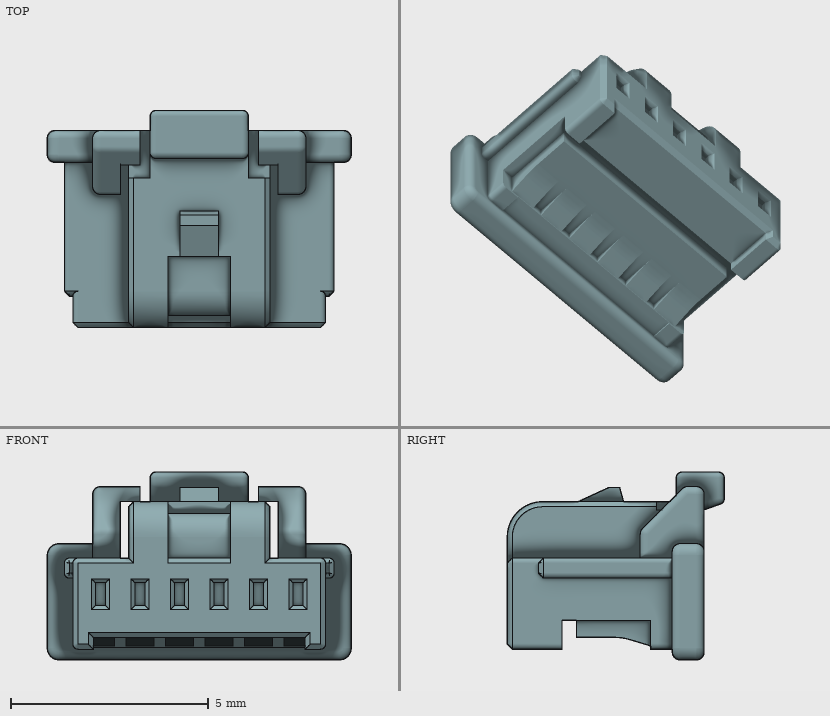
import cadquery as cq
import math

EDGE_BREAK = 0.13
EDGE_ROUND = 0.2
OVERLAP = 0.2
CUT_START_Z = -1.0

BODY_HALF_WIDTH = 3.2
BODY_BOTTOM = 0.27
BODY_ROUND = 0.135
BODY_TOP = 2.58
REAR = 4.99

FLANGE_WIDTH = 7.7
FLANGE_HEIGHT = 2.945
FLANGE_THICKNESS = 0.81
FLANGE_FRONT = REAR - FLANGE_THICKNESS
FLANGE_CORNER = 0.3

RIB_HALF_WIDTH = 3.415
RIB_BOTTOM = 2.07
RIB_FRONT = 0.79

CONTACT_COUNT = 6
CONTACT_PITCH = 1.0
CAVITY_WIDTH = 0.26
CAVITY_HEIGHT = 0.58
CAVITY_CENTRE_Z = 1.665
CAVITY_DEPTH = 0.22
CAVITY_LEAD_IN = 0.1

RECESS_HALF_WIDTH = 2.68
RAMP_HALF_WIDTH = 2.88
RECESS_TOP = 0.57
GAP_FRONT = 1.39
GAP_REAR = 1.75
GAP_TOP = 1.0
SIDE_CUT_REAR = 3.63
RAMP_START = 2.7
RAMP_RADIUS = 1.46
RAMP_ANGLE = math.radians(17)
RAMP_WALL_BOTTOM = 0.32
RAMP_SLOT_WIDTH = 0.29

LATCH_HALF_WIDTH = 1.79
LATCH_TOP = 4.01
LATCH_NOSE_RADIUS = 0.9
SHELF_HALF_WIDTH = 1.245
SHELF_FRONT = 3.78
SHELF_Z = 3.8
WINDOW_HALF_WIDTH = 0.79
WINDOW_DEPTH = 0.3
WINDOW_REAR = 1.8
TOOTH_WIDTH = 0.98
TOOTH_HEIGHT = 0.36
TOOTH_CREST_FRONT = 2.58
TOOTH_CREST_REAR = 2.85
TOOTH_REAR = 2.95

PAD_FRONT = 4.28
PAD_REAR = 5.5
PAD_TOP = 4.76
PAD_LIP_Z = 3.98
PAD_ROUND = 0.15

GUARD_OUTER = 2.7
GUARD_INNER = 2.0
GUARD_HOOK_INNER = 1.5
GUARD_HOOK_Z = 4.01
GUARD_FRONT = 3.37
GUARD_TOP = 4.39
GUARD_SLOPE_LOW = 3.27


def block(x0, x1, y0, y1, z0, z1):
    """Box between two opposite corners."""
    return cq.Workplane("XY").box(x1 - x0, y1 - y0, z1 - z0, centered=False).translate((x0, y0, z0))


def side_profile(points, x0, x1):
    """Polygon of (y, z) points extruded from x0 to x1."""
    return cq.Workplane("YZ").polyline(points).close().extrude(x1 - x0).translate((x0, 0, 0))


def both_sides(shape):
    """The shape joined with its mirror image across the mid plane."""
    return shape.union(shape.mirror("YZ"))


def lead_in(x, z, width, height, flare):
    """Rectangular funnel at the mating face, narrowing at 45 degrees to width by height."""
    return (
        cq.Workplane("XZ", origin=(x, 0, z))
        .rect(width + 2 * flare, height + 2 * flare)
        .workplane(offset=-flare)
        .rect(width, height)
        .loft(ruled=True)
    )


def make_ramp():
    """Underside ramp: an arc, a straight slope and a rear wall, split by slots between the contacts."""
    arc_end_y = RAMP_START + RAMP_RADIUS * math.sin(RAMP_ANGLE)
    arc_end_z = RECESS_TOP - RAMP_RADIUS * (1 - math.cos(RAMP_ANGLE))
    arc_mid_y = RAMP_START + RAMP_RADIUS * math.sin(RAMP_ANGLE / 2)
    arc_mid_z = RECESS_TOP - RAMP_RADIUS * (1 - math.cos(RAMP_ANGLE / 2))
    slope_end_z = arc_end_z - (SIDE_CUT_REAR - arc_end_y) * math.tan(RAMP_ANGLE)
    roof = RECESS_TOP + OVERLAP
    ramp = (
        cq.Workplane("YZ")
        .moveTo(RAMP_START, RECESS_TOP)
        .threePointArc((arc_mid_y, arc_mid_z), (arc_end_y, arc_end_z))
        .lineTo(SIDE_CUT_REAR, slope_end_z)
        .lineTo(SIDE_CUT_REAR, RAMP_WALL_BOTTOM)
        .lineTo(REAR - OVERLAP, RAMP_WALL_BOTTOM)
        .lineTo(REAR - OVERLAP, roof)
        .lineTo(RAMP_START, roof)
        .close()
        .extrude(RAMP_HALF_WIDTH, both=True)
    )
    for gap in range(CONTACT_COUNT - 1):
        x = (gap - (CONTACT_COUNT - 2) / 2) * CONTACT_PITCH
        half = RAMP_SLOT_WIDTH / 2
        ramp = ramp.cut(block(x - half, x + half, RAMP_START, SIDE_CUT_REAR, CUT_START_Z, RECESS_TOP))
    return ramp


def make_body():
    """Housing block with the underside recess, side cut-outs and contact ramp."""
    w = BODY_HALF_WIDTH
    body = block(-w, w, 0, REAR - OVERLAP, BODY_BOTTOM, BODY_TOP).edges("|Y").fillet(BODY_ROUND)
    body = body.faces("<Y").edges().chamfer(EDGE_BREAK)
    r = RECESS_HALF_WIDTH
    body = body.cut(block(-r, r, 0, FLANGE_FRONT, CUT_START_Z, RECESS_TOP))
    body = body.cut(lead_in(0, 0, 2 * r, 2 * RECESS_TOP, EDGE_BREAK))
    body = body.cut(block(-w, w, GAP_FRONT, GAP_REAR, CUT_START_Z, GAP_TOP))
    ramp_half = RAMP_HALF_WIDTH
    body = body.cut(block(-ramp_half, ramp_half, GAP_REAR, SIDE_CUT_REAR, CUT_START_Z, RECESS_TOP))
    body = body.cut(both_sides(block(ramp_half, w, GAP_FRONT, SIDE_CUT_REAR, CUT_START_Z, GAP_TOP)))
    return body.union(make_ramp())


def make_flange():
    """Rounded rear plate, lowered to the body top between the guards."""
    half = FLANGE_WIDTH / 2
    flange = block(-half, half, FLANGE_FRONT, REAR, 0, FLANGE_HEIGHT)
    flange = flange.edges("|Y").fillet(FLANGE_CORNER)
    flange = flange.faces("<Y or >Y").edges().fillet(EDGE_ROUND)
    return flange.cut(block(-GUARD_INNER, GUARD_INNER, FLANGE_FRONT, REAR, BODY_TOP, FLANGE_HEIGHT))


def make_rib():
    """Rib along the top of the +X side wall, level with the body top."""
    rib = block(RAMP_HALF_WIDTH, RIB_HALF_WIDTH, RIB_FRONT, REAR - OVERLAP, RIB_BOTTOM, BODY_TOP)
    rib = rib.edges("|Y and >X").fillet(EDGE_BREAK)
    return rib.faces("<Y").edges(">X").chamfer(EDGE_BREAK)


def cut_cavities(part):
    """Row of blind contact cavities with tapered lead-ins in the mating face."""
    for contact in range(CONTACT_COUNT):
        x = (contact - (CONTACT_COUNT - 1) / 2) * CONTACT_PITCH
        cavity = block(
            x - CAVITY_WIDTH / 2, x + CAVITY_WIDTH / 2, 0, CAVITY_DEPTH,
            CAVITY_CENTRE_Z - CAVITY_HEIGHT / 2, CAVITY_CENTRE_Z + CAVITY_HEIGHT / 2,
        )
        flare = lead_in(x, CAVITY_CENTRE_Z, CAVITY_WIDTH, CAVITY_HEIGHT, CAVITY_LEAD_IN)
        part = part.cut(cavity).cut(flare)
    return part


def nose_profile(inset, floor, rear):
    """Latch side profile with a rounded front top corner, set in from the front and top by inset."""
    radius = LATCH_NOSE_RADIUS - inset
    centre_y = LATCH_NOSE_RADIUS
    centre_z = LATCH_TOP - LATCH_NOSE_RADIUS
    diagonal = radius * math.sqrt(0.5)
    return (
        cq.Workplane("YZ")
        .moveTo(inset, floor)
        .lineTo(inset, centre_z)
        .threePointArc((centre_y - diagonal, centre_z + diagonal), (centre_y, centre_z + radius))
        .lineTo(rear, centre_z + radius)
        .lineTo(rear, floor)
        .close()
    )


def make_latch():
    """Latch block with a front window, a locking tooth and lowered shelves at the rear."""
    w = LATCH_HALF_WIDTH
    floor = BODY_TOP - OVERLAP
    latch = nose_profile(0, floor, REAR).extrude(w, both=True)
    latch = latch.faces("<X or >X").edges("not(<Z or >Y)").chamfer(EDGE_BREAK)
    latch = latch.cut(both_sides(block(SHELF_HALF_WIDTH, w, SHELF_FRONT, REAR, SHELF_Z, LATCH_TOP)))

    window = block(-WINDOW_HALF_WIDTH, WINDOW_HALF_WIDTH, 0, WINDOW_REAR, BODY_TOP, LATCH_TOP)
    window_floor = nose_profile(WINDOW_DEPTH, BODY_TOP, WINDOW_REAR).extrude(WINDOW_HALF_WIDTH, both=True)
    latch = latch.cut(window.cut(window_floor))
    sill = [(0, BODY_TOP - EDGE_BREAK), (0, BODY_TOP), (WINDOW_DEPTH, BODY_TOP)]
    latch = latch.cut(side_profile(sill, -WINDOW_HALF_WIDTH, WINDOW_HALF_WIDTH))

    crest = LATCH_TOP + TOOTH_HEIGHT
    tooth = [
        (WINDOW_REAR, LATCH_TOP),
        (TOOTH_CREST_FRONT, crest),
        (TOOTH_CREST_REAR, crest),
        (TOOTH_REAR, LATCH_TOP),
        (TOOTH_REAR, LATCH_TOP - OVERLAP),
        (WINDOW_REAR, LATCH_TOP - OVERLAP),
    ]
    return latch.union(side_profile(tooth, -TOOTH_WIDTH / 2, TOOTH_WIDTH / 2))


def make_pad():
    """Rounded thumb pad overhanging the rear of the latch."""
    outline = [
        (PAD_FRONT, SHELF_Z),
        (PAD_FRONT, PAD_TOP),
        (PAD_REAR, PAD_TOP),
        (PAD_REAR, PAD_LIP_Z),
        (REAR, SHELF_Z),
    ]
    pad = side_profile(outline, -SHELF_HALF_WIDTH, SHELF_HALF_WIDTH)
    exposed_edges = cq.selectors.BoxSelector(
        (-LATCH_HALF_WIDTH, PAD_FRONT - OVERLAP, SHELF_Z + EDGE_BREAK / 2),
        (LATCH_HALF_WIDTH, PAD_REAR + OVERLAP, PAD_TOP + OVERLAP),
    )
    return pad.edges(exposed_edges).fillet(PAD_ROUND)


def make_guard():
    """Guard post on the +X side with a hook reaching over the latch shelf."""
    slope_top_y = GUARD_FRONT + GUARD_TOP - GUARD_SLOPE_LOW
    floor = BODY_TOP - OVERLAP
    outline = [
        (GUARD_FRONT, floor),
        (GUARD_FRONT, GUARD_SLOPE_LOW),
        (slope_top_y, GUARD_TOP),
        (REAR, GUARD_TOP),
        (REAR, floor),
    ]
    guard = side_profile(outline, GUARD_HOOK_INNER, GUARD_OUTER)
    guard = guard.edges("(>X or |X) and (not <Z)").fillet(EDGE_ROUND)
    return guard.cut(block(GUARD_HOOK_INNER, GUARD_INNER, GUARD_FRONT, REAR, floor, GUARD_HOOK_Z))


housing = make_body().union(both_sides(make_rib())).union(make_flange())
latch = make_latch().union(make_pad())
result = cut_cavities(housing.union(latch).union(both_sides(make_guard())))